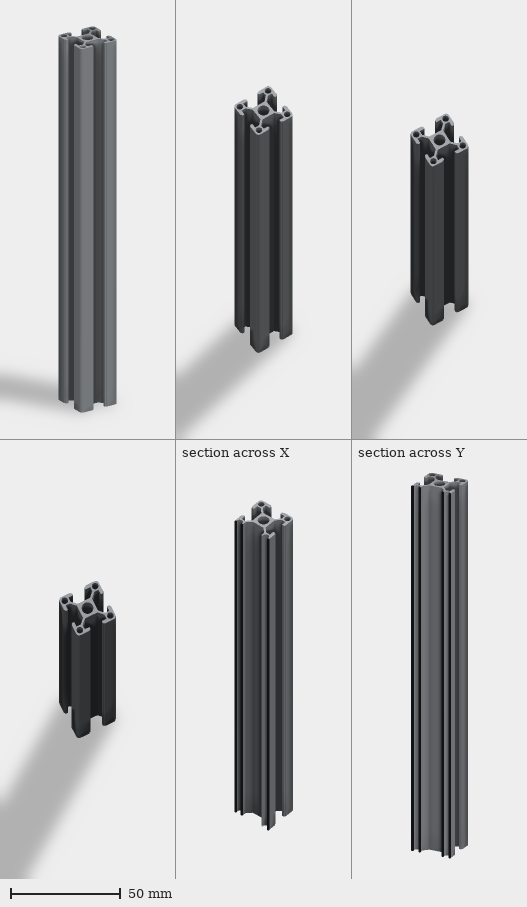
import cadquery as cq

WIDTH = 20.0
LENGTH = 180.0
CORNER_RADIUS = 1.5

SLOT_OPENING = 6.24
RECESS_DEPTH = 0.4
RECESS_FLOOR_MARGIN = 0.55
RECESS_TOP_MARGIN = 0.8

LIP_THICKNESS = 1.65
CORNER_BLOCK_INNER = 5.55
CHAMBER_FILLET = 0.1

CORE_WIDTH = 7.7
CORE_BORE_DIAMETER = 5.35
WEB_THICKNESS = 0.98
CORNER_BORE_DIAMETER = 3.0
CORNER_BORE_OFFSET = 7.75

HALF_WIDTH = WIDTH / 2
HALF_OPENING = SLOT_OPENING / 2
HALF_CORE = CORE_WIDTH / 2
LIP_INNER = HALF_WIDTH - LIP_THICKNESS
WEB_OFFSET = WEB_THICKNESS / 2 * 2 ** 0.5


def mirrored_prism(right_side):
    """Full-length prism whose outline is the given points and their mirror images across X = 0."""
    left_side = [(-x, y) for x, y in reversed(right_side)]
    return cq.Workplane("XY").polyline(right_side + left_side).close().extrude(LENGTH)


def slot_chamber():
    """Wide part of the slot open to +Y, bounded by the lips, corner blocks, webs and core."""
    block_foot = CORNER_BLOCK_INNER + WEB_OFFSET
    chamber = mirrored_prism(
        [
            (CORNER_BLOCK_INNER, LIP_INNER),
            (CORNER_BLOCK_INNER, block_foot),
            (HALF_CORE - WEB_OFFSET, HALF_CORE),
        ]
    )
    beside_blocks = cq.selectors.BoxSelector(
        (-HALF_WIDTH, CORNER_BLOCK_INNER, 0), (HALF_WIDTH, HALF_WIDTH, LENGTH)
    )
    return chamber.edges("|Z").edges(beside_blocks).fillet(CHAMBER_FILLET)


def slot_mouth():
    """Opening between the lips of the slot open to +Y, with the shallow recess in the lip faces."""
    recess_floor = HALF_WIDTH - RECESS_DEPTH
    return mirrored_prism(
        [
            (HALF_OPENING + RECESS_TOP_MARGIN, HALF_WIDTH),
            (HALF_OPENING + RECESS_FLOOR_MARGIN, recess_floor),
            (HALF_OPENING, recess_floor),
            (HALF_OPENING, CORNER_BLOCK_INNER),
        ]
    )


def bores():
    """Central bore and the four corner bores, all running the full length."""
    core_bore = cq.Workplane("XY").circle(CORE_BORE_DIAMETER / 2).extrude(LENGTH)
    corner_bores = (
        cq.Workplane("XY")
        .rect(2 * CORNER_BORE_OFFSET, 2 * CORNER_BORE_OFFSET, forConstruction=True)
        .vertices()
        .circle(CORNER_BORE_DIAMETER / 2)
        .extrude(LENGTH)
    )
    return core_bore.union(corner_bores)


def slotted_bar():
    """Square bar with rounded long edges, one T-slot per side and the bores."""
    bar = cq.Workplane("XY").rect(WIDTH, WIDTH).extrude(LENGTH)
    bar = bar.edges("|Z").fillet(CORNER_RADIUS)
    slot = slot_chamber().union(slot_mouth())
    for slot_angle in (0, 90, 180, 270):
        bar = bar.cut(slot.rotate((0, 0, 0), (0, 0, 1), slot_angle))
    return bar.cut(bores())


result = slotted_bar()